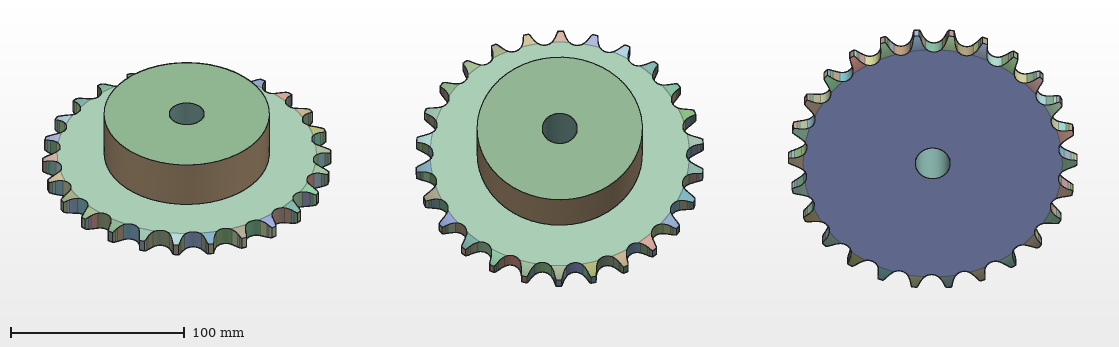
import cadquery as cq
import math

TOOTH_COUNT = 26
TIP_DIAMETER = 165.9
ROOT_DIAMETER = 146.0
SEAT_RADIUS = 6.1
SEAT_HALF_ANGLE = 52.7
WORKING_RADIUS = 15.8
WORKING_SWEEP = 15.9
STRAIGHT_LENGTH = 1.7
TOPPING_RADIUS = 10.0
PLATE_THICKNESS = 11.1
RELIEF_START_RADIUS = 74.5
RELIEF_DEPTH = 2.0
HUB_DIAMETER = 95.0
TOTAL_HEIGHT = 40.0
BORE_DIAMETER = 20.0

TIP_RADIUS = TIP_DIAMETER / 2
SEAT_CENTRE = ROOT_DIAMETER / 2 + SEAT_RADIUS
GAP_ANGLE = 360 / TOOTH_COUNT


def plate_blank():
    """Disc whose faces curve inwards towards the rim, starting tangent to the flat."""
    radial = TIP_RADIUS - RELIEF_START_RADIUS
    curve_radius = (radial**2 + RELIEF_DEPTH**2) / (2 * RELIEF_DEPTH)
    half_sweep = math.asin(radial / curve_radius) / 2
    mid_r = RELIEF_START_RADIUS + curve_radius * math.sin(half_sweep)
    mid_drop = curve_radius * (1 - math.cos(half_sweep))
    return (
        cq.Workplane("XZ")
        .lineTo(RELIEF_START_RADIUS, 0)
        .threePointArc((mid_r, mid_drop), (TIP_RADIUS, RELIEF_DEPTH))
        .lineTo(TIP_RADIUS, PLATE_THICKNESS - RELIEF_DEPTH)
        .threePointArc(
            (mid_r, PLATE_THICKNESS - mid_drop),
            (RELIEF_START_RADIUS, PLATE_THICKNESS),
        )
        .lineTo(0, PLATE_THICKNESS)
        .close()
        .revolve(360, (0, 0), (0, 1))
    )


def offset(point, length, angle):
    """Point at a given length and direction (radians) from another point."""
    return (point[0] + length * math.cos(angle), point[1] + length * math.sin(angle))


def mirrored(point):
    """Matching point on the other side of the gap centreline."""
    return (point[0], -point[1])


def tooth_gap():
    """Cutter for the gap centred on +X.

    Each flank is a tangent chain: roller seat, concave working curve, short straight
    and convex topping curve ending on the tip circle.
    """
    seat_bottom = (ROOT_DIAMETER / 2, 0)
    seat_centre = (SEAT_CENTRE, 0)
    seat_normal = math.pi - math.radians(SEAT_HALF_ANGLE)
    seat_end = offset(seat_centre, SEAT_RADIUS, seat_normal)

    sweep = math.radians(WORKING_SWEEP)
    straight_normal = seat_normal - sweep
    working_centre = offset(seat_end, -WORKING_RADIUS, seat_normal)
    working_mid = offset(working_centre, WORKING_RADIUS, seat_normal - sweep / 2)
    working_end = offset(working_centre, WORKING_RADIUS, straight_normal)
    straight_end = offset(working_end, STRAIGHT_LENGTH, straight_normal - math.pi / 2)

    topping_centre = offset(straight_end, TOPPING_RADIUS, straight_normal)
    distance = math.hypot(*topping_centre)
    cosine = (distance**2 + TIP_RADIUS**2 - TOPPING_RADIUS**2) / (2 * distance * TIP_RADIUS)
    tip_angle = math.atan2(topping_centre[1], topping_centre[0]) - math.acos(cosine)
    tip = offset((0, 0), TIP_RADIUS, tip_angle)
    topping_start = straight_normal - math.pi
    topping_end = math.atan2(tip[1] - topping_centre[1], tip[0] - topping_centre[0])
    topping_mid = offset(topping_centre, TOPPING_RADIUS, (topping_start + topping_end) / 2)

    open_end = (TIP_RADIUS + SEAT_RADIUS, tip[1])

    return (
        cq.Workplane("XY")
        .moveTo(*mirrored(seat_end))
        .threePointArc(seat_bottom, seat_end)
        .threePointArc(working_mid, working_end)
        .lineTo(*straight_end)
        .threePointArc(topping_mid, tip)
        .lineTo(*open_end)
        .lineTo(*mirrored(open_end))
        .lineTo(*mirrored(tip))
        .threePointArc(mirrored(topping_mid), mirrored(straight_end))
        .lineTo(*mirrored(working_end))
        .threePointArc(mirrored(working_mid), mirrored(seat_end))
        .close()
        .extrude(PLATE_THICKNESS)
    )


def toothed_plate():
    """Plate with a tooth centred on the X axis."""
    plate = plate_blank()
    gap = tooth_gap()
    for i in range(TOOTH_COUNT):
        plate = plate.cut(gap.rotate((0, 0, 0), (0, 0, 1), (i + 0.5) * GAP_ANGLE))
    return plate


hub = cq.Workplane("XY").circle(HUB_DIAMETER / 2).extrude(TOTAL_HEIGHT)
bore = cq.Workplane("XY").circle(BORE_DIAMETER / 2).extrude(TOTAL_HEIGHT)

result = toothed_plate().union(hub).cut(bore)